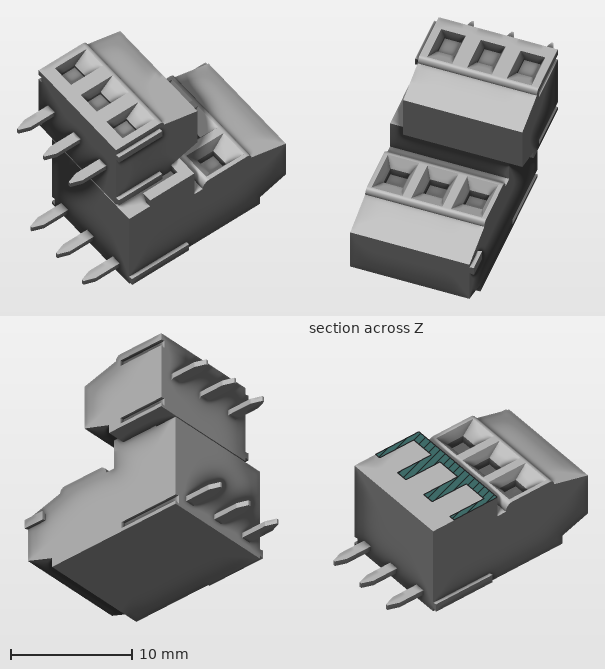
import cadquery as cq
import math

DIAGONAL = math.sqrt(0.5)


pole_count = 3
housing_width = 10.47
pitch = housing_width / pole_count
level_shift = 1.78
upper_left = -level_shift
total_height = 16.3
pin_length = 3.5
overall_length = 19.8
lower_rear = overall_length - pin_length

crest_radius = 0.5
shoulder_angle = 15.2

lower_foot_rear = 13.62
lower_foot_height = 0.9
lower_nose_bottom = 1.86
lower_top = 7.5
lower_crest_rear = 12.24
lower_crest_front = 8.32
lower_crest_front_end = 7.66
trough_height = 6.75
step_rear = 6.77
step_top = 9.58
rail_base = 8.8
rail_front = 2.18

upper_bottom = 8.91
upper_rear = 8.47
upper_foot_rear = 5.76
upper_foot_top = 9.7
upper_nose_bottom = 10.63
upper_crest_rear = 4.51

rail_half_base = 0.55
rail_half_top = 0.95

key_depth = 0.4
upper_key_root = 0.55
upper_key_tip = 0.71
upper_key_length = upper_crest_rear
upper_key_levels = (9.55, 15.36)
lower_key_root = 0.6
lower_key_tip = 0.81
lower_key_length = 5.94
lower_key_level = 0.63
rear_key_root = 0.67
rear_key_tip = 0.87
rear_key_length = 1.98
rear_key_level = 5.37

funnel_depth = 0.73
upper_shaft_depth = 0.28
lower_shaft_depth = 0.71
upper_mouth_width = 2.18
upper_shaft_width = 1.55
upper_mouth_front = 1.19
upper_shaft_rear = 3.0
lower_mouth_width = 2.73
lower_shaft_width = 1.72
lower_shaft_front = 9.09
lower_shaft_rear = 10.75

pin_width = 0.91
pin_tip_width = 0.2
pin_thickness = 0.5
pin_taper_length = 1.0
pin_bend_radius = 0.2
pin_embed = 0.4
lower_pin_bottom = 0.93
upper_pin_bottom = 12.38


def pole_centres(left):
    return [left + pitch * (i + 0.5) for i in range(pole_count)]


def nose(profile, nose_bottom, rear, crest_rear, top):
    """Continue a side profile up the rear wall, over the shoulder and the rounded step to the top."""
    shoulder_top = top - crest_radius
    shoulder_run = rear - crest_rear - crest_radius
    shoulder_drop = shoulder_run * math.tan(math.radians(shoulder_angle))
    return (
        profile.lineTo(rear, nose_bottom)
        .lineTo(rear, shoulder_top - shoulder_drop)
        .lineTo(crest_rear + crest_radius, shoulder_top)
        .threePointArc(
            (crest_rear + crest_radius * DIAGONAL, shoulder_top + crest_radius * DIAGONAL),
            (crest_rear, top),
        )
    )


def lower_housing():
    front_radius_y = lower_crest_front - lower_crest_front_end
    front_radius_z = lower_top - trough_height
    profile = (
        cq.Workplane("YZ")
        .moveTo(0, 0)
        .lineTo(lower_foot_rear, 0)
        .lineTo(lower_foot_rear, lower_foot_height)
    )
    profile = nose(profile, lower_nose_bottom, lower_rear, lower_crest_rear, lower_top)
    return (
        profile.lineTo(lower_crest_front, lower_top)
        .threePointArc(
            (
                lower_crest_front - front_radius_y * DIAGONAL,
                trough_height + front_radius_z * DIAGONAL,
            ),
            (lower_crest_front_end, trough_height),
        )
        .lineTo(step_rear, trough_height)
        .lineTo(step_rear, step_top)
        .lineTo(upper_foot_rear, step_top)
        .lineTo(upper_foot_rear, rail_base)
        .lineTo(0, rail_base)
        .close()
        .extrude(housing_width)
    )


def upper_housing():
    profile = (
        cq.Workplane("YZ", origin=(upper_left, 0, 0))
        .moveTo(0, upper_bottom)
        .lineTo(upper_foot_rear, upper_bottom)
        .lineTo(upper_foot_rear, upper_foot_top)
    )
    profile = nose(profile, upper_nose_bottom, upper_rear, upper_crest_rear, total_height)
    return profile.lineTo(0, total_height).close().extrude(housing_width)


def rails():
    """Dovetail rails under the upper level, one at every pole boundary."""
    bars = cq.Workplane("XY")
    for i in range(pole_count + 1):
        x = i * pitch
        bar = (
            cq.Workplane("XZ", origin=(0, rail_front, 0))
            .polyline(
                [
                    (x - rail_half_base, rail_base),
                    (x + rail_half_base, rail_base),
                    (x + rail_half_top, step_top),
                    (x - rail_half_top, step_top),
                ]
            )
            .close()
            .extrude(rail_front - upper_foot_rear)
        )
        bars = bars.add(bar)
    limits = cq.Workplane("XY").box(housing_width, lower_rear, total_height, centered=False)
    return bars.combine().intersect(limits)


def key(wall_x, direction, depth, root, tip, level, y_start, length):
    """Dovetail bar along Y, widening from the wall at wall_x in the given X direction."""
    end_x = wall_x + direction * depth
    return (
        cq.Workplane("XZ", origin=(0, y_start, 0))
        .polyline(
            [
                (wall_x, level - root / 2),
                (end_x, level - tip / 2),
                (end_x, level + tip / 2),
                (wall_x, level + root / 2),
            ]
        )
        .close()
        .extrude(-length)
    )


def funnel(x, top, mouth_width, mouth_front, mouth_rear, shaft_width, shaft_front, shaft_rear, shaft_depth):
    """Tapered wire entry with a straight shaft at its bottom."""
    mouth_length = mouth_rear - mouth_front
    shaft_length = shaft_rear - shaft_front
    shaft_shift = (shaft_front + shaft_rear - mouth_front - mouth_rear) / 2
    taper = (
        cq.Workplane("XY", origin=(x, (mouth_front + mouth_rear) / 2, top))
        .rect(mouth_width, mouth_length)
        .workplane(offset=-funnel_depth)
        .center(0, shaft_shift)
        .rect(shaft_width, shaft_length)
        .loft(ruled=True)
    )
    shaft = (
        cq.Workplane("XY", origin=(x, (shaft_front + shaft_rear) / 2, top - funnel_depth))
        .rect(shaft_width, shaft_length)
        .extrude(-shaft_depth)
    )
    return taper.union(shaft)


def pin_plan(x, bottom, height):
    """Pin outline seen from above: straight blade with a tapered tip."""
    taper_start = pin_taper_length - pin_length
    return (
        cq.Workplane("XY", origin=(x, 0, bottom))
        .polyline(
            [
                (-pin_width / 2, pin_embed),
                (-pin_width / 2, taper_start),
                (-pin_tip_width / 2, -pin_length),
                (pin_tip_width / 2, -pin_length),
                (pin_width / 2, taper_start),
                (pin_width / 2, pin_embed),
            ]
        )
        .close()
        .extrude(height)
    )


def bent_pin(x):
    """Upper pin, whose root bends downwards where it enters the housing."""
    bend_y = -pin_bend_radius
    bend_z = upper_pin_bottom - pin_bend_radius
    outer_radius = pin_bend_radius + pin_thickness
    pin_top = upper_pin_bottom + pin_thickness
    side = (
        cq.Workplane("YZ", origin=(x - pin_width / 2, 0, 0))
        .moveTo(-pin_length, upper_pin_bottom)
        .lineTo(bend_y, upper_pin_bottom)
        .threePointArc(
            (bend_y + pin_bend_radius * DIAGONAL, bend_z + pin_bend_radius * DIAGONAL),
            (bend_y + pin_bend_radius, bend_z),
        )
        .lineTo(bend_y + outer_radius, bend_z)
        .threePointArc(
            (bend_y + outer_radius * DIAGONAL, bend_z + outer_radius * DIAGONAL),
            (bend_y, pin_top),
        )
        .lineTo(-pin_length, pin_top)
        .close()
        .extrude(pin_width)
    )
    return side.intersect(pin_plan(x, bend_z, pin_top - bend_z))


result = lower_housing().union(rails()).union(upper_housing())

for x in pole_centres(0):
    result = result.cut(
        funnel(x, lower_top, lower_mouth_width, lower_crest_front, lower_crest_rear,
               lower_shaft_width, lower_shaft_front, lower_shaft_rear, lower_shaft_depth)
    )
for x in pole_centres(upper_left):
    result = result.cut(
        funnel(x, total_height, upper_mouth_width, upper_mouth_front, upper_crest_rear,
               upper_shaft_width, upper_mouth_front, upper_shaft_rear, upper_shaft_depth)
    )

for level in upper_key_levels:
    upper_shape = (key_depth, upper_key_root, upper_key_tip, level, 0, upper_key_length)
    result = result.union(key(upper_left + housing_width, 1, *upper_shape))
    result = result.cut(key(upper_left, 1, *upper_shape))
lower_shape = (key_depth, lower_key_root, lower_key_tip, lower_key_level, 0, lower_key_length)
result = result.union(key(housing_width, 1, *lower_shape))
result = result.cut(key(0, 1, *lower_shape))

result = result.union(
    key(0, -1, key_depth, rear_key_root, rear_key_tip, rear_key_level,
        lower_rear - rear_key_length, rear_key_length)
)

for x in pole_centres(0):
    result = result.union(pin_plan(x, lower_pin_bottom, pin_thickness))
for x in pole_centres(upper_left):
    result = result.union(bent_pin(x))